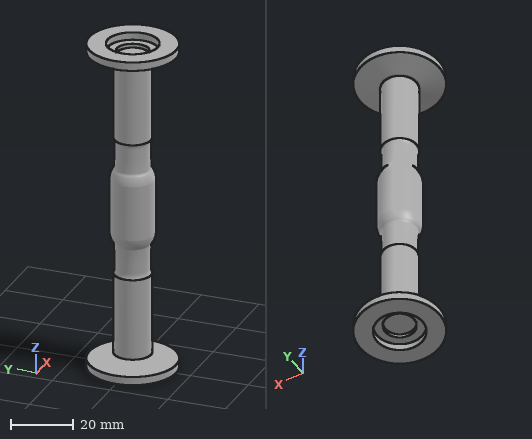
import cadquery as cq

length = 114.2
half_length = length / 2

flange_radius = 30.0 / 2
flange_rim_height = 3.0
flange_height = 5.1
flange_hub_radius = 7.1

recess_radius = 17.2 / 2
recess_depth = 2.6
bore_radius = 11.0 / 2
bore_depth = 1.4

tube_radius = 12.7 / 2
tube_end = 23.9
barrel_radius = 15.2 / 2
barrel_half_height = 9.5

neck_radius = 5.9
neck_top = 22.2
flare_radius = 6.0
flare_height = 14.8
shoulder_radius = 6.6
shoulder_height = 12.7

shoulder_direction = (-1, 1)
neck_direction = (0, 1)

flange_back = half_length - flange_height
rim_back = half_length - flange_rim_height
recess_floor = half_length - recess_depth
bore_floor = recess_floor - bore_depth


def tangent_arc_radius(width, height):
    """Radius of an arc that spans width by height and is vertical at one end."""
    return (width**2 + height**2) / (2 * width)


shoulder_arc = tangent_arc_radius(barrel_radius - shoulder_radius, shoulder_height - barrel_half_height)

ledge_arc = tangent_arc_radius(tube_radius - neck_radius, tube_end - neck_top)


def barrel():
    """Central cylinder, centred on the mid-plane."""
    return cq.Workplane("XY").cylinder(2 * barrel_half_height, barrel_radius)


def upper_end():
    """Everything above the barrel, turned about Z; local X is the radius and local Y the height."""
    section = (
        cq.Workplane("XZ")
        .moveTo(0, barrel_half_height)
        .lineTo(barrel_radius, barrel_half_height)
        .radiusArc((shoulder_radius, shoulder_height), -shoulder_arc)
        .spline(
            [(flare_radius, flare_height), (neck_radius, neck_top)],
            tangents=[shoulder_direction, neck_direction],
            includeCurrent=True,
        )
        .radiusArc((tube_radius, tube_end), ledge_arc)
        .lineTo(tube_radius, flange_back)
        .lineTo(flange_hub_radius, flange_back)
        .lineTo(flange_radius, rim_back)
        .lineTo(flange_radius, half_length)
        .lineTo(recess_radius, half_length)
        .lineTo(recess_radius, recess_floor)
        .lineTo(bore_radius, recess_floor)
        .lineTo(bore_radius, bore_floor)
        .lineTo(0, bore_floor)
        .close()
    )
    return section.revolve(360, (0, 0, 0), (0, 1, 0))


end = upper_end()
result = barrel().union(end).union(end.mirror("XY"))